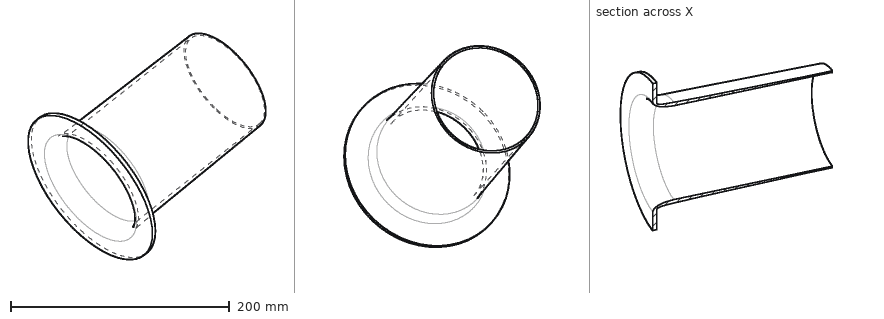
import cadquery as cq

total_length = 177.0
flange_diameter = 158.0
flange_thickness = 4.0
bore_radius = 50.1
tube_end_wall = 2.1
tube_base_wall = 4.2
mouth_length = 20.7
mouth_flare = 8.5
root_flare = 3.0

flange_radius = flange_diameter / 2
mouth_radius = bore_radius + mouth_flare
tube_end_radius = bore_radius + tube_end_wall
tube_base_radius = bore_radius + tube_base_wall
root_radius = tube_base_radius + root_flare


def mouth_edge():
    """Quarter ellipse, axial at the tube side and radial at the flange face."""
    center = cq.Vector(mouth_radius, mouth_length, 0)
    long_axis = cq.Vector(0, -1, 0)
    normal = cq.Vector(0, 0, 1)
    return cq.Edge.makeEllipse(mouth_length, mouth_flare, center, normal, long_axis, 270, 360)


def root_edge():
    """Parabolic flare that runs from the flange into the outside of the tube."""
    flange_end = cq.Vector(root_radius, flange_thickness, 0)
    corner = cq.Vector(tube_base_radius, flange_thickness, 0)
    tube_end = cq.Vector(tube_base_radius, mouth_length, 0)
    return cq.Edge.makeBezier([flange_end, corner, tube_end])


def line_edge(start, end):
    return cq.Edge.makeLine(cq.Vector(*start), cq.Vector(*end))


section = cq.Wire.assembleEdges([
    mouth_edge(),
    line_edge((mouth_radius, 0), (flange_radius, 0)),
    line_edge((flange_radius, 0), (flange_radius, flange_thickness)),
    line_edge((flange_radius, flange_thickness), (root_radius, flange_thickness)),
    root_edge(),
    line_edge((tube_base_radius, mouth_length), (tube_end_radius, total_length)),
    line_edge((tube_end_radius, total_length), (bore_radius, total_length)),
    line_edge((bore_radius, total_length), (bore_radius, mouth_length)),
])

result = cq.Workplane("XY").add(section).toPending().revolve(360, (0, 0, 0), (0, 1, 0))